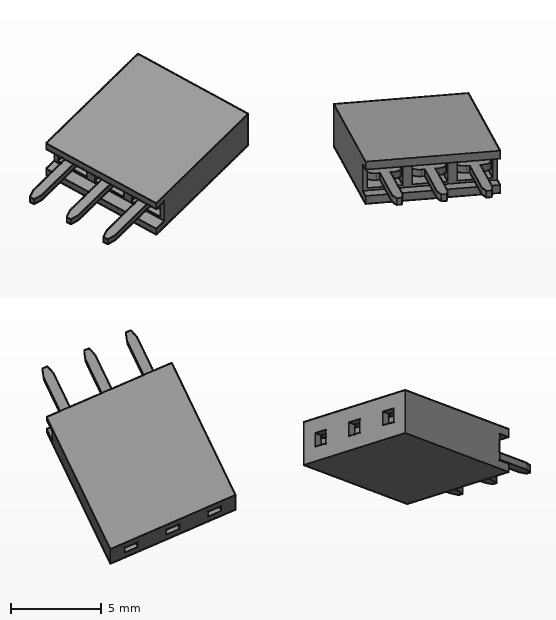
import cadquery as cq


contact_count = 3
pitch = 2.54

overall_length = 11.5
housing_width = contact_count * pitch
housing_height = pitch
leg_length = 3.0
housing_depth = overall_length - leg_length
lip_thickness = 0.48
lip_depth = 0.75
end_wall_thickness = 0.5

pocket_width = 2.0
pocket_height = pitch / 2
pocket_floor_y = housing_depth - end_wall_thickness
entry_size = 0.8

contact_thickness = 0.41
shoulder_y = lip_depth
shoulder_radius = 0.5
leg_width = 0.6
tip_width = 0.3
tip_length = 0.51

contact_positions = [(i - (contact_count - 1) / 2) * pitch for i in range(contact_count)]


def box_between(x_center, width, y_start, y_end, height):
    """Box centred on Z = 0 that spans y_start to y_end."""
    return (
        cq.Workplane("XY")
        .box(width, y_end - y_start, height, centered=(True, False, True))
        .translate((x_center, y_start, 0))
    )


def make_housing():
    """Block with a channel between two lips, and a pocket and entry hole per contact."""
    body = box_between(0, housing_width, 0, housing_depth, housing_height)
    channel_height = housing_height - 2 * lip_thickness
    body = body.cut(box_between(0, housing_width, 0, lip_depth, channel_height))
    for x in contact_positions:
        body = body.cut(box_between(x, pocket_width, lip_depth, pocket_floor_y, pocket_height))
        body = body.cut(box_between(x, entry_size, pocket_floor_y, housing_depth, entry_size))
    return body.solids()


def make_contact(x_center):
    """Flat plate that fills the pocket's width, with round shoulders and a tapered leg."""
    plate = (
        box_between(x_center, pocket_width, shoulder_y, pocket_floor_y, contact_thickness)
        .edges("|Z and <Y")
        .fillet(shoulder_radius)
    )
    taper_y = tip_length - leg_length
    leg = (
        cq.Workplane("XY", origin=(x_center, 0, -contact_thickness / 2))
        .moveTo(-leg_width / 2, shoulder_y)
        .lineTo(-leg_width / 2, taper_y)
        .lineTo(-tip_width / 2, -leg_length)
        .lineTo(tip_width / 2, -leg_length)
        .lineTo(leg_width / 2, taper_y)
        .lineTo(leg_width / 2, shoulder_y)
        .close()
        .extrude(contact_thickness)
    )
    return plate.union(leg).solids()


housing = make_housing()
contacts = [make_contact(x) for x in contact_positions]

result = cq.Compound.makeCompound([housing.val(), *[contact.val() for contact in contacts]])